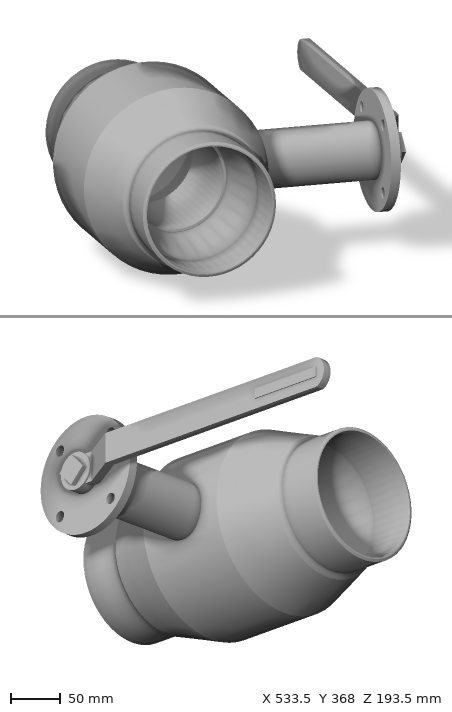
import cadquery as cq
import math

OVERALL_LENGTH = 533.5
OVERALL_DEPTH = 368.0

BODY_DIAMETER = 193.5
BODY_HALF_LENGTH = 162.5
BARREL_HALF_LENGTH = 51.0
SHOULDER_DIAMETER = 150.0
SHOULDER_X = 111.5
SHOULDER_CHAMFER_LENGTH = 5.5
PIPE_DIAMETER = 140.0
PIPE_INNER_DIAMETER = 132.0
PIPE_BEVEL_LENGTH = 1.5
PIPE_BEVEL_DEPTH = 2.5

CONE_START_X = SHOULDER_X
SEAT_X = BARREL_HALF_LENGTH
SEAT_DIAMETER = 106.0
BALL_BORE_DIAMETER = 100.0

STEM_DIAMETER = 60.0
FLANGE_DIAMETER = 125.0
FLANGE_THICKNESS = 10.0
FLANGE_TOP_Y = 232.0
BOLT_HOLE_DIAMETER = 12.0
BOLT_CIRCLE_DIAMETER = 100.0
BOLT_COUNT = 4

COLLAR_DIAMETER = 40.0
COLLAR_TOP_Y = 246.5
SPINDLE_SIDE = 23.0
SPINDLE_TURN = 45.0
SPINDLE_TOP_Y = 252.5

LEVER_END_X = BODY_HALF_LENGTH - OVERALL_LENGTH
LEVER_WIDTH = 32.0
LEVER_THICKNESS = 9.5
LEVER_TOP_Y = 270.0
LEVER_ROOT_TOP_Y = 244.5
LEVER_CRANK_X = -21.0
LEVER_CRANK_ANGLE = 30.0
LEVER_TIP_LENGTH = 10.0

LABEL_START_X = -360.0
LABEL_END_X = -275.0
LABEL_WIDTH = 10.5
LABEL_TOP_Y = OVERALL_DEPTH - BODY_DIAMETER / 2


def disc(diameter, bottom_y, top_y):
    """Cylinder around the stem axis between two heights."""
    plane = cq.Workplane("XZ", origin=(0, bottom_y, 0))
    return plane.circle(diameter / 2).extrude(bottom_y - top_y)


def make_body():
    """Solid outside of the valve body."""
    half_profile = [
        (BODY_HALF_LENGTH, PIPE_DIAMETER / 2 - PIPE_BEVEL_DEPTH),
        (BODY_HALF_LENGTH - PIPE_BEVEL_LENGTH, PIPE_DIAMETER / 2),
        (SHOULDER_X + SHOULDER_CHAMFER_LENGTH, PIPE_DIAMETER / 2),
        (SHOULDER_X, SHOULDER_DIAMETER / 2),
        (BARREL_HALF_LENGTH, BODY_DIAMETER / 2),
    ]
    return revolve_symmetric(half_profile)


def make_passage():
    """Flow passage through the body, from end to end."""
    half_profile = [
        (BODY_HALF_LENGTH, PIPE_INNER_DIAMETER / 2),
        (CONE_START_X, PIPE_INNER_DIAMETER / 2),
        (SEAT_X, SEAT_DIAMETER / 2),
        (SEAT_X, BALL_BORE_DIAMETER / 2),
    ]
    return revolve_symmetric(half_profile)


def revolve_symmetric(half_profile):
    """Turn a profile of (x, radius) points and its mirror image around X."""
    mirrored = [(-x, radius) for x, radius in reversed(half_profile)]
    end_x = half_profile[0][0]
    outline = [(end_x, 0)] + half_profile + mirrored + [(-end_x, 0)]
    return cq.Workplane("XY").polyline(outline).close().revolve(360, (0, 0, 0), (1, 0, 0))


def make_flange():
    """Round mounting flange with its bolt holes on the diagonals."""
    bottom_y = FLANGE_TOP_Y - FLANGE_THICKNESS
    holes = (
        cq.Workplane("XZ", origin=(0, bottom_y, 0))
        .polarArray(BOLT_CIRCLE_DIAMETER / 2, 180 / BOLT_COUNT, 360, BOLT_COUNT)
        .circle(BOLT_HOLE_DIAMETER / 2)
        .extrude(-FLANGE_THICKNESS)
    )
    return disc(FLANGE_DIAMETER, bottom_y, FLANGE_TOP_Y).cut(holes)


def make_spindle():
    """Square spindle end, turned so its corners point along X and Z."""
    return (
        cq.Workplane("XZ", origin=(0, FLANGE_TOP_Y, 0))
        .transformed(rotate=(0, 0, SPINDLE_TURN))
        .rect(SPINDLE_SIDE, SPINDLE_SIDE)
        .extrude(FLANGE_TOP_Y - SPINDLE_TOP_Y)
    )


def make_lever():
    """Flat bar cranked up from the collar, with a rounded free end."""
    angle = math.radians(LEVER_CRANK_ANGLE)
    upper_bend_x = LEVER_CRANK_X - (LEVER_TOP_Y - LEVER_ROOT_TOP_Y) / math.tan(angle)
    underside_shift = LEVER_THICKNESS * math.tan(angle / 2)
    outline = [
        (0, LEVER_ROOT_TOP_Y),
        (LEVER_CRANK_X, LEVER_ROOT_TOP_Y),
        (upper_bend_x, LEVER_TOP_Y),
        (LEVER_END_X, LEVER_TOP_Y),
        (LEVER_END_X, LEVER_TOP_Y - LEVER_THICKNESS),
        (upper_bend_x - underside_shift, LEVER_TOP_Y - LEVER_THICKNESS),
        (LEVER_CRANK_X - underside_shift, LEVER_ROOT_TOP_Y - LEVER_THICKNESS),
        (0, LEVER_ROOT_TOP_Y - LEVER_THICKNESS),
    ]
    bar = cq.Workplane("XY").polyline(outline).close().extrude(LEVER_WIDTH / 2, both=True)
    return bar.intersect(make_rounded_blank())


def make_rounded_blank():
    """Block with one end bowed to an arc, which rounds the free end of the lever."""
    arc_start_x = LEVER_END_X + LEVER_TIP_LENGTH
    half_width = LEVER_WIDTH / 2
    return (
        cq.Workplane("XZ")
        .moveTo(0, half_width)
        .lineTo(arc_start_x, half_width)
        .threePointArc((LEVER_END_X, 0), (arc_start_x, -half_width))
        .lineTo(0, -half_width)
        .close()
        .extrude(-LEVER_TOP_Y)
    )


def make_label():
    """Thin raised strip along the grip end of the lever."""
    length = LABEL_END_X - LABEL_START_X
    middle_x = (LABEL_START_X + LABEL_END_X) / 2
    plane = cq.Workplane("XZ", origin=(middle_x, LEVER_TOP_Y, 0))
    return plane.rect(length, LABEL_WIDTH).extrude(LEVER_TOP_Y - LABEL_TOP_Y)


result = (
    make_body()
    .union(disc(STEM_DIAMETER, 0, FLANGE_TOP_Y))
    .cut(make_passage())
    .union(make_flange())
    .union(disc(COLLAR_DIAMETER, FLANGE_TOP_Y, COLLAR_TOP_Y))
    .union(make_spindle())
    .union(make_lever())
    .union(make_label())
)